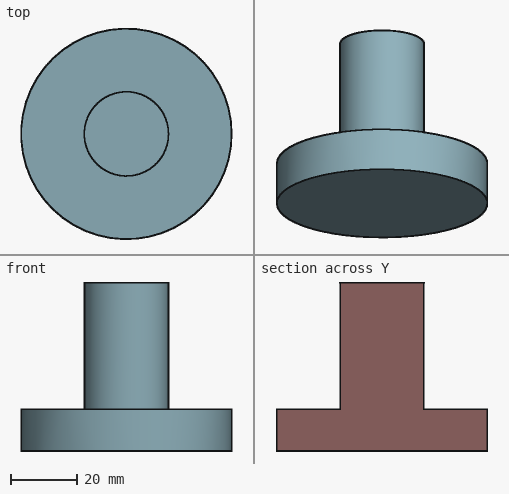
import cadquery as cq

base_diameter = 63.5
base_height = 12.7
stem_diameter = 25.4
total_height = 50.8

stem_height = total_height - base_height

base = cq.Workplane("XY").circle(base_diameter / 2).extrude(base_height)

stem = (
    cq.Workplane("XY")
    .workplane(offset=base_height)
    .circle(stem_diameter / 2)
    .extrude(stem_height)
)

result = base.union(stem)